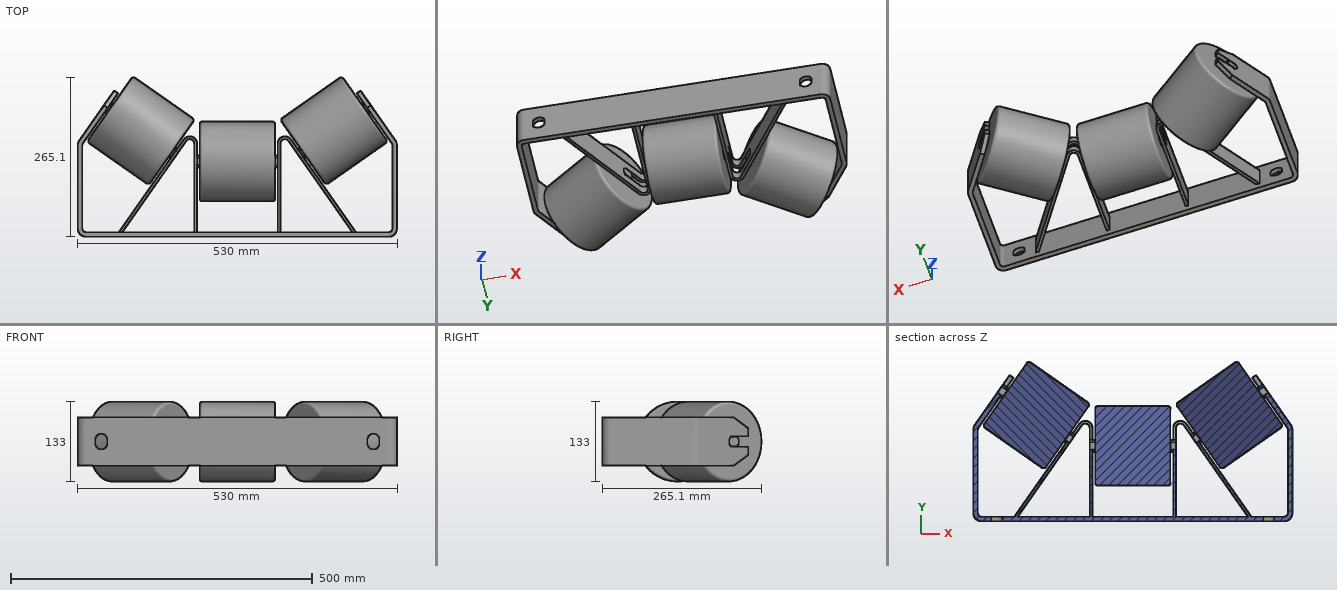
import cadquery as cq
import math


TILT = 35

STRAP_LENGTH = 530
STRAP_WIDTH = 80.0
STRAP_THICK = 8.0
STRAP_BEND = 14.0
SHOULDER_Y = 156.5
ARM_LENGTH = 105.5
TIP_CUT_ALONG = 29.5
TIP_CUT_ACROSS = 18.0

MOUNT_SPACING = 451.5
MOUNT_WIDTH = 20.0
MOUNT_HEIGHT = 26.0

STRUT_WIDTH = 50.0
STRUT_THICK = 5.0
STRUT_BEND = 12.0
STRUT_FACE_X = 67.0
STRUT_BEND_Y = 155.0

ROLLER_DIA = 133.0
ROLLER_LENGTH = 125.5
ROLLER_ROUND = 5.0
SHAFT_DIA = 20.0
SHAFT_FLATS = 16.0
SHAFT_SLOT = 17.5
MIDDLE_ROLLER_Y = 125.0
SHAFT_ON_ARM = 76.5
ARM_GAP = 3.5

TILT_COS = math.cos(math.radians(TILT))
TILT_SIN = math.sin(math.radians(TILT))
HALF_LENGTH = STRAP_LENGTH / 2
STRUT_BEND_X = STRUT_FACE_X + STRUT_BEND
ARM_REACH = ROLLER_LENGTH / 2 + ARM_GAP + STRAP_THICK
SIDE_ROLLER_X = HALF_LENGTH - SHAFT_ON_ARM * TILT_SIN - ARM_REACH * TILT_COS
SIDE_ROLLER_Y = SHOULDER_Y + SHAFT_ON_ARM * TILT_COS - ARM_REACH * TILT_SIN
MIDDLE_REACH = STRUT_FACE_X + STRUT_THICK
BEND_TO_ROLLER = (SIDE_ROLLER_X - STRUT_BEND_X) * TILT_COS + (SIDE_ROLLER_Y - STRUT_BEND_Y) * TILT_SIN
STRUT_REACH = BEND_TO_ROLLER - STRUT_BEND + STRUT_THICK
LEANING_SLOT_DEPTH = (STRUT_BEND_Y - SIDE_ROLLER_Y) * TILT_COS - (STRUT_BEND_X - SIDE_ROLLER_X) * TILT_SIN


def both_sides(body):
    return body.union(body.mirror("YZ"))


def on_right_axis(body):
    """Move a body from the origin to the right-hand side roller, its X axis along the roller."""
    return body.rotate((0, 0, 0), (0, 0, 1), TILT).translate((SIDE_ROLLER_X, SIDE_ROLLER_Y, 0))


def bent_sheet(middle_line, outer_radius, thickness, width):
    """Sheet of even thickness that follows a middle line in XY, with its corners rounded."""
    corners = [cq.Vector(x, y, 0) for x, y in middle_line]
    path = cq.Wire.makePolygon(corners).fillet(outer_radius - thickness / 2)
    start = cq.Plane(origin=corners[0], xDir=(0, 0, 1), normal=corners[1] - corners[0])
    return cq.Workplane(start).rect(width, thickness).sweep(cq.Workplane(path))


def bar_along_x(outline, start, end):
    return outline.extrude(end - start).translate((start, 0, 0))


def flatted_bar(across_flats, start, end):
    """Round bar of the shaft diameter along X, with flats facing +Z and -Z."""
    rod = bar_along_x(cq.Workplane("YZ").circle(SHAFT_DIA / 2), start, end)
    flats = bar_along_x(cq.Workplane("YZ").rect(SHAFT_DIA, across_flats), start, end)
    return rod.intersect(flats)


def shaft_slot(start, end, depth):
    """Cutter for a slot that seats the shaft on the X axis and runs towards +Y."""
    throat = cq.Workplane("YZ").center(depth / 2, 0).rect(depth, SHAFT_SLOT)
    return flatted_bar(SHAFT_SLOT, start, end).union(bar_along_x(throat, start, end))


def roller(left_reach, right_reach):
    """Roller centred on the origin along X, in one piece with its shaft."""
    barrel_outline = cq.Workplane("YZ").circle(ROLLER_DIA / 2)
    barrel = bar_along_x(barrel_outline, -ROLLER_LENGTH / 2, ROLLER_LENGTH / 2)
    shaft = flatted_bar(SHAFT_FLATS, -left_reach, right_reach)
    return barrel.edges("%CIRCLE").fillet(ROLLER_ROUND).union(shaft)


def bent_strap():
    inset = STRAP_THICK / 2
    corner_inset = inset * math.tan(math.radians(TILT / 2))
    side_x = HALF_LENGTH - inset
    shoulder_y = SHOULDER_Y - corner_inset
    arm = ARM_LENGTH - corner_inset
    tip = (side_x - arm * TILT_SIN, shoulder_y + arm * TILT_COS)
    right_half = [(side_x, inset), (side_x, shoulder_y), tip]
    left_half = [(-x, y) for x, y in reversed(right_half)]
    return bent_sheet(left_half + right_half, STRAP_BEND, STRAP_THICK, STRAP_WIDTH)


def arm_tip_cutter():
    """Prisms that cut off both corners of the right-hand arm's tip."""
    tip = ARM_LENGTH - SHAFT_ON_ARM
    edge = STRAP_WIDTH / 2
    corner = cq.Workplane("YZ").polyline(
        [(tip, edge), (tip - TIP_CUT_ALONG, edge), (tip, edge - TIP_CUT_ACROSS)]
    ).close()
    prism = bar_along_x(corner, ROLLER_LENGTH / 2, ARM_REACH)
    return on_right_axis(prism.union(prism.mirror("XY")))


def arm_slot_cutter():
    return on_right_axis(shaft_slot(ROLLER_LENGTH / 2, ARM_REACH, ARM_LENGTH - SHAFT_ON_ARM))


def mounting_slot_cutter():
    slot = cq.Workplane("XZ").center(MOUNT_SPACING / 2, 0).slot2D(MOUNT_HEIGHT, MOUNT_WIDTH, 90)
    return slot.extrude(-STRAP_THICK)


def strut():
    """Right-hand strut, with both feet sunk into the base and one slot running round its bend."""
    inset = STRUT_THICK / 2
    middle_radius = STRUT_BEND - inset
    foot_y = STRAP_THICK / 2
    upright_x = STRUT_FACE_X + inset
    apex_y = STRUT_BEND_Y + middle_radius * math.tan(math.radians(90 - TILT / 2))
    leaning_foot_x = upright_x + (apex_y - foot_y) * TILT_SIN / TILT_COS
    sheet = bent_sheet(
        [(upright_x, foot_y), (upright_x, apex_y), (leaning_foot_x, foot_y)],
        STRUT_BEND,
        STRUT_THICK,
        STRUT_WIDTH,
    )
    depth = STRUT_BEND_Y - MIDDLE_ROLLER_Y
    upright_slot = shaft_slot(STRUT_FACE_X, MIDDLE_REACH, depth).translate((0, MIDDLE_ROLLER_Y, 0))
    leaning_slot = on_right_axis(shaft_slot(-STRUT_REACH, STRUT_THICK - STRUT_REACH, LEANING_SLOT_DEPTH))
    bend_size = 2 * STRUT_BEND
    bend_slot = cq.Workplane("XY", origin=(STRUT_BEND_X, STRUT_BEND_Y + STRUT_BEND, 0))
    bend_slot = bend_slot.box(bend_size, bend_size, SHAFT_SLOT)
    return sheet.cut(upright_slot).cut(leaning_slot).cut(bend_slot)


def frame():
    """Strap and struts in one piece with the middle roller."""
    strap_cutters = arm_tip_cutter().union(arm_slot_cutter()).union(mounting_slot_cutter())
    middle_roller = roller(MIDDLE_REACH, MIDDLE_REACH).translate((0, MIDDLE_ROLLER_Y, 0))
    strap = bent_strap().cut(both_sides(strap_cutters))
    return strap.union(both_sides(strut())).union(middle_roller)


def side_roller(side):
    """Tilted roller on the right (side = 1) or on the left (side = -1)."""
    body = on_right_axis(roller(STRUT_REACH, ARM_REACH))
    return body if side > 0 else body.mirror("YZ")


frame_with_roller = frame()
side_rollers = [side_roller(side) for side in (-1, 1)]

result = cq.Compound.makeCompound([frame_with_roller.val(), *[body.val() for body in side_rollers]])